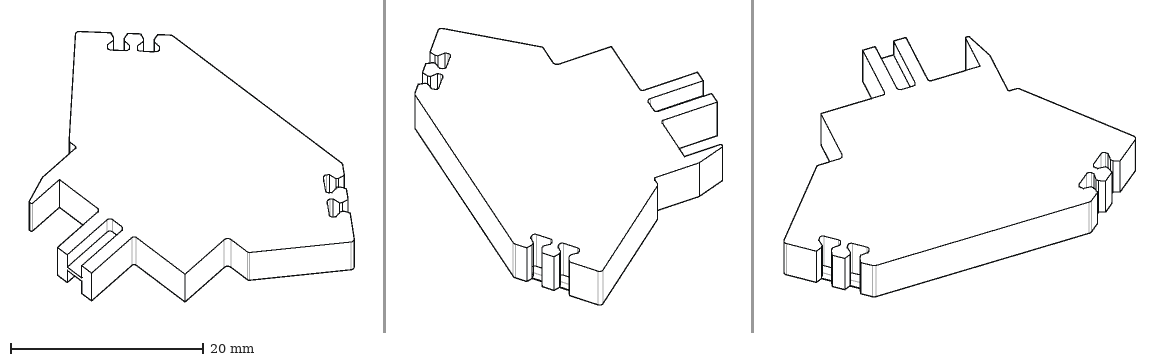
import cadquery as cq
import math

thickness = 5.0
top_y = 21.5
shoulder_angle = 40.0
wing_tip_x = 19.79
wing_tip_y = 15.05
stem_half_width = 9.65
left_step_y = 4.25
right_step_y = 6.5

finger_inner_x = -8.15
finger_taper_y = -1.0
finger_tip_y = -4.25
finger_tip_width = 0.4

tongue_half_width = 2.42
tongue_length = 6.5
fork_gap = 2.05
web_thickness = 0.6

wing_tip_radius = 0.4
top_corner_radius = 0.5
left_step_radius = 0.4
left_step_inner_radius = 0.2
right_step_inner_radius = 0.5
right_step_outer_radius = 0.3
finger_tip_radius = 0.15
tongue_root_radius = 0.3
fork_root_radius = 0.4

notch_positions = (4.56, 7.68)
mouth_width = 1.75
neck_width = 1.1
pocket_width = 2.3
neck_start = 0.65
neck_end = 0.95
pocket_start = 1.55
pocket_end = 2.21
pocket_radius = 0.35
ramp_end = 1.23
pocket_floor = 0.28
ramp_low = 0.1

slope = math.radians(shoulder_angle)
top_half_width = wing_tip_x - (top_y - wing_tip_y) / math.tan(slope)


def wing_underside_x(y):
    """Half width of the head on its lower edges, which are square to the shoulders."""
    return wing_tip_x - (wing_tip_y - y) * math.tan(slope)


def round_corner(body, x, y, radius):
    """Round the upright edge that stands at (x, y)."""
    reach = 0.01
    corner = cq.selectors.BoxSelector((x - reach, y - reach, -reach), (x + reach, y + reach, thickness + reach))
    return body.edges("|Z").edges(corner).fillet(radius)


def make_plate():
    left_step_x = -wing_underside_x(left_step_y)
    right_step_x = wing_underside_x(right_step_y)
    finger_tip_x = finger_inner_x - finger_tip_width
    outline = [
        (-top_half_width, top_y),
        (-wing_tip_x, wing_tip_y),
        (left_step_x, left_step_y),
        (-stem_half_width, left_step_y),
        (-stem_half_width, finger_taper_y),
        (finger_tip_x, finger_tip_y),
        (finger_inner_x, finger_tip_y),
        (finger_inner_x, 0),
        (-tongue_half_width, 0),
        (-tongue_half_width, -tongue_length),
        (tongue_half_width, -tongue_length),
        (tongue_half_width, 0),
        (stem_half_width, 0),
        (stem_half_width, right_step_y),
        (right_step_x, right_step_y),
        (wing_tip_x, wing_tip_y),
        (top_half_width, top_y),
    ]
    plate = cq.Workplane("XY").polyline(outline).close().extrude(thickness)
    for side in (-1, 1):
        plate = round_corner(plate, side * top_half_width, top_y, top_corner_radius)
        plate = round_corner(plate, side * wing_tip_x, wing_tip_y, wing_tip_radius)
        plate = round_corner(plate, side * tongue_half_width, 0, tongue_root_radius)
    plate = round_corner(plate, left_step_x, left_step_y, left_step_radius)
    plate = round_corner(plate, -stem_half_width, left_step_y, left_step_inner_radius)
    plate = round_corner(plate, stem_half_width, right_step_y, right_step_inner_radius)
    plate = round_corner(plate, right_step_x, right_step_y, right_step_outer_radius)
    plate = round_corner(plate, finger_tip_x, finger_tip_y, finger_tip_radius)
    plate = round_corner(plate, finger_inner_x, finger_tip_y, finger_tip_radius)
    return plate


def make_fork_gap():
    """Space between the fork prongs, open above and below the central web."""
    gap = (
        cq.Workplane("XY")
        .rect(fork_gap, 2 * tongue_length)
        .extrude(thickness)
        .edges("|Z")
        .fillet(fork_root_radius)
        .translate((0, -tongue_length, 0))
    )
    web = cq.Workplane("XY").box(fork_gap, 2 * tongue_length, web_thickness)
    return gap.cut(web.translate((0, -tongue_length, thickness / 2)))


def make_notch():
    """Notch cutter: centred on X = 0, entering from the edge Y = 0 toward -Y."""
    right_side = [
        (mouth_width / 2, 0),
        (neck_width / 2, -neck_start),
        (neck_width / 2, -neck_end),
        (pocket_width / 2, -pocket_start),
        (pocket_width / 2, -pocket_end),
    ]
    left_side = [(-x, y) for x, y in reversed(right_side)]
    notch = cq.Workplane("XY").polyline(right_side + left_side).close().extrude(thickness)
    for side in (-1, 1):
        notch = round_corner(notch, side * pocket_width / 2, -pocket_end, pocket_radius)
    floor = (
        cq.Workplane("YZ")
        .moveTo(-pocket_end, 0)
        .lineTo(-neck_start, 0)
        .lineTo(-neck_start, ramp_low)
        .lineTo(-ramp_end, pocket_floor)
        .lineTo(-pocket_end, pocket_floor)
        .close()
        .extrude(pocket_width / 2, both=True)
    )
    return notch.cut(floor)


result = make_plate().cut(make_fork_gap())
for position in notch_positions:
    left_notch = (
        make_notch()
        .translate((position, 0, 0))
        .rotate((0, 0, 0), (0, 0, 1), shoulder_angle)
        .translate((-wing_tip_x, wing_tip_y, 0))
    )
    result = result.cut(left_notch).cut(left_notch.mirror("YZ"))